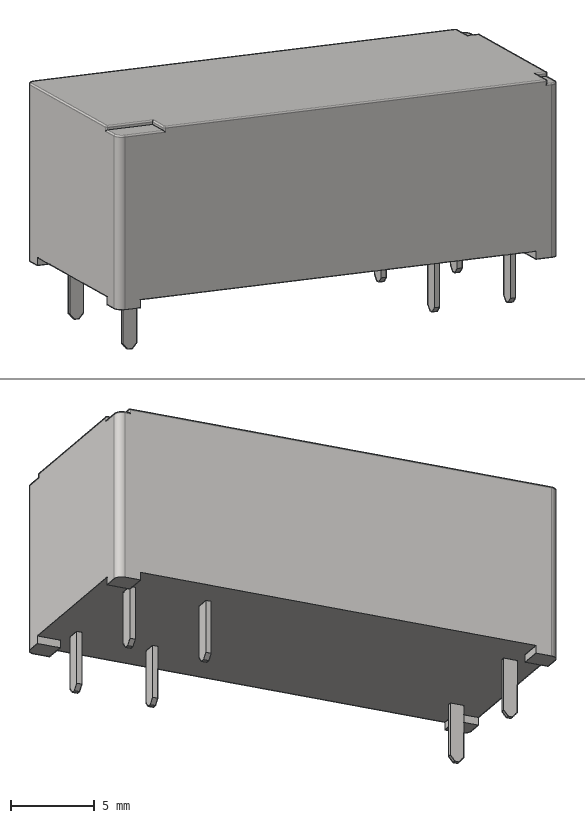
import cadquery as cq

width = 12.8
length = 29.0
total_height = 14.2
case_height = 11.0
pin_drop = total_height - case_height
corner_radius = 0.5
rim_radius = 0.1

foot_size = 1.5
foot_height = 0.5

step_depth = 0.25
corner_step_width = 1.6
front_step_length = 3.05
rear_step_length = 0.75

pin_x = 3.75
front_pin_y = -12.5
rear_pin_rows = (7.5, 12.5)
front_pin_width = 0.9
front_pin_thickness = 0.25
rear_pin_width = 0.95
rear_pin_thickness = 0.35
tip_height = 0.35
tip_width = 0.3


def block(size_x, size_y, bottom, top):
    """Box centred on the Z axis between two heights."""
    return cq.Workplane("XY").workplane(offset=bottom).rect(size_x, size_y).extrude(top - bottom)


def rounded_block(height):
    """Case outline with round corners, raised to a height."""
    return block(width, length, 0, height).edges("|Z").fillet(corner_radius)


def make_case():
    """Case with a lid face stepped down at three corners, every upper rim rounded."""
    lower_body = rounded_block(case_height - step_depth).faces(">Z").edges().fillet(rim_radius)
    lid_body = rounded_block(case_height)
    steps = (
        (1, -1, front_step_length),
        (1, 1, rear_step_length),
        (-1, 1, rear_step_length),
    )
    for side_x, side_y, step_length in steps:
        corner_x = side_x * width / 2
        corner_y = side_y * length / 2
        cutter = block(2 * corner_step_width, 2 * step_length, 0, case_height)
        lid_body = lid_body.cut(cutter.translate((corner_x, corner_y, 0)))
        wall_ends = (
            (corner_x - side_x * corner_step_width, corner_y),
            (corner_x, corner_y - side_y * step_length),
        )
        for x, y in wall_ends:
            nearest = cq.NearestToPointSelector((x, y, case_height / 2))
            lid_body = lid_body.edges("|Z").edges(nearest).fillet(rim_radius)
    lid_body = lid_body.faces(">Z").edges().fillet(rim_radius)
    return lower_body.union(lid_body)


def cut_feet(case):
    """Raise the underside between the corners, leaving four feet."""
    across = block(width, length - 2 * foot_size, 0, foot_height)
    along = block(width - 2 * foot_size, length, 0, foot_height)
    return case.cut(across).cut(along)


def make_pin(pin_width, thickness):
    """Flat pin, wide along X, tapering to a blunt tip."""
    outline = [
        (-pin_width / 2, foot_height),
        (-pin_width / 2, tip_height - pin_drop),
        (-tip_width / 2, -pin_drop),
        (tip_width / 2, -pin_drop),
        (pin_width / 2, tip_height - pin_drop),
        (pin_width / 2, foot_height),
    ]
    return cq.Workplane("XZ").polyline(outline).close().extrude(thickness / 2, both=True)


result = cut_feet(make_case())
front_pin = make_pin(front_pin_width, front_pin_thickness).rotate((0, 0, 0), (0, 0, 1), 90)
rear_pin = make_pin(rear_pin_width, rear_pin_thickness)
for x in (-pin_x, pin_x):
    result = result.union(front_pin.translate((x, front_pin_y, 0)))
    for y in rear_pin_rows:
        result = result.union(rear_pin.translate((x, y, 0)))